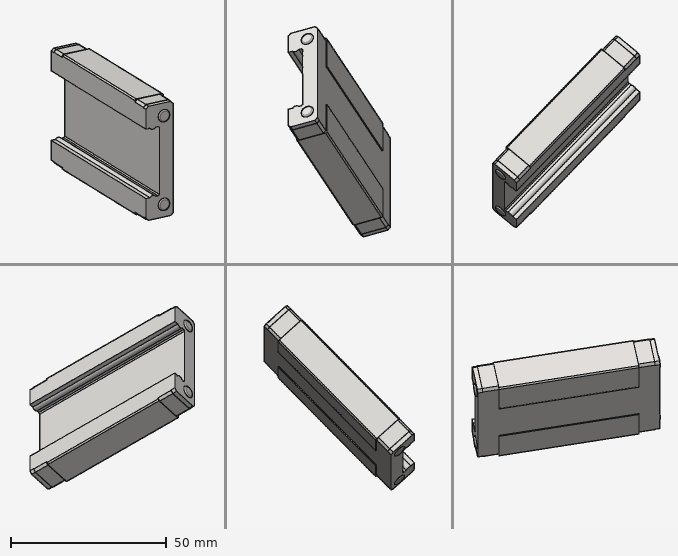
import cadquery as cq

LENGTH = 60.4
DEPTH = 10.6
HEIGHT = 40.0
FRONT_Y = -DEPTH / 2

BLOCK_LENGTH = 45.65
BLOCK_CHAMFER = 0.5
BACK_RELIEF_DEPTH = 0.35
BACK_RELIEF_HEIGHT = 16.05

BUTTON_PROJECTION = 0.5
HOUSING_LENGTH = LENGTH - 2 * BUTTON_PROJECTION
HOUSING_DEPTH = DEPTH - BACK_RELIEF_DEPTH
HOUSING_HEIGHT = 39.6
HOUSING_CHAMFER = 0.85
SEAL_THICKNESS = 1.6
SEAL_INSET = 0.1
SEAL_HEIGHT = HOUSING_HEIGHT - 2 * SEAL_INSET
SEAL_CHAMFER = 0.9

CHANNEL_DEPTH = 5.0
CHANNEL_HALF_HEIGHT = 11.95
CHANNEL_CORNER = 0.4
RIDGE_HEIGHT = 0.55
RIDGE_START = 1.5
RIDGE_END = 3.7

BUTTON_RADIUS = 2.1
BUTTON_ROUNDING = 0.45
BUTTON_Y = FRONT_Y + 6.7
BUTTON_Z = 15.3


def chamfered_bar(length, depth, height, chamfer):
    """Bar along X, flush with the front face, with its four long edges chamfered."""
    bar = cq.Workplane("XY").box(length, depth, height)
    return bar.edges("|X").chamfer(chamfer).translate((0, FRONT_Y + depth / 2, 0))


def body():
    housing_length = HOUSING_LENGTH - 2 * SEAL_THICKNESS
    block = chamfered_bar(BLOCK_LENGTH, DEPTH, HEIGHT, BLOCK_CHAMFER)
    housing = chamfered_bar(housing_length, HOUSING_DEPTH, HOUSING_HEIGHT, HOUSING_CHAMFER)
    seal = chamfered_bar(HOUSING_LENGTH, HOUSING_DEPTH, SEAL_HEIGHT, SEAL_CHAMFER)
    relief = cq.Workplane("XY").box(BLOCK_LENGTH, BACK_RELIEF_DEPTH, BACK_RELIEF_HEIGHT)
    relief = relief.translate((0, (DEPTH - BACK_RELIEF_DEPTH) / 2, 0))
    return block.cut(relief).union(housing).union(seal)


def channel():
    """Channel cutter; half of its outline is drawn and the rest mirrored across Z = 0."""
    wall = CHANNEL_HALF_HEIGHT
    ridge_middle = (RIDGE_START + RIDGE_END) / 2
    upper = (
        cq.Workplane("YZ", origin=(0, FRONT_Y, 0))
        .lineTo(0, wall)
        .lineTo(RIDGE_START, wall)
        .threePointArc((ridge_middle, wall - RIDGE_HEIGHT), (RIDGE_END, wall))
        .lineTo(CHANNEL_DEPTH - CHANNEL_CORNER, wall)
        .lineTo(CHANNEL_DEPTH, wall - CHANNEL_CORNER)
        .lineTo(CHANNEL_DEPTH, 0)
        .close()
        .extrude(LENGTH / 2, both=True)
    )
    return upper.union(upper.mirror("XY"))


def button_pair(z):
    """Through-going pin whose rounded tips form the buttons on both ends."""
    pin = cq.Workplane("YZ", origin=(0, BUTTON_Y, z)).circle(BUTTON_RADIUS).extrude(LENGTH / 2, both=True)
    return pin.faces("<X or >X").edges().fillet(BUTTON_ROUNDING)


result = body().cut(channel())
for button_z in (-BUTTON_Z, BUTTON_Z):
    result = result.union(button_pair(button_z))